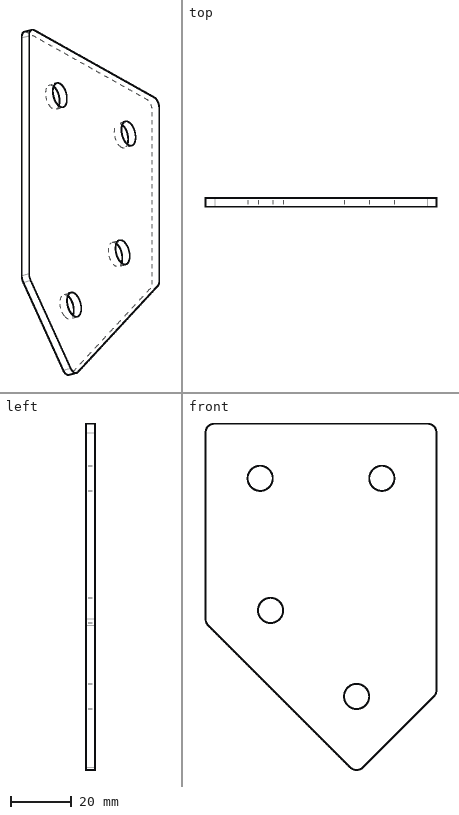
import cadquery as cq
import math

hole_pitch = 40.0
edge_margin = 18.0
width = hole_pitch + 2 * edge_margin
thickness = 3.0
height = 113.92
corner_radius = 3.0
hole_diameter = 8.2

tip_x = 49.7
tip_depth = height + corner_radius * (math.sqrt(2) - 1)
left_edge_length = tip_depth - tip_x
right_edge_length = tip_depth - (width - tip_x)

tip_hole = (tip_x, edge_margin * math.sqrt(2) - tip_depth)
diagonal_step = hole_pitch / math.sqrt(2)
hole_centres = [
    (edge_margin, -edge_margin),
    (edge_margin + hole_pitch, -edge_margin),
    tip_hole,
    (tip_hole[0] - diagonal_step, tip_hole[1] + diagonal_step),
]


def make_plate():
    """Five-sided plate with every corner rounded; the front face lies at Y = 0."""
    outline = [
        (0, 0),
        (width, 0),
        (width, -right_edge_length),
        (tip_x, -tip_depth),
        (0, -left_edge_length),
    ]
    plate = cq.Workplane("XZ").polyline(outline).close().extrude(-thickness)
    return plate.edges("|Y").fillet(corner_radius)


def make_hole_cutters():
    """Cylinders through the plate at every hole centre."""
    hole_plane = cq.Workplane("XZ").pushPoints(hole_centres)
    return hole_plane.circle(hole_diameter / 2).extrude(-thickness)


result = make_plate().cut(make_hole_cutters())